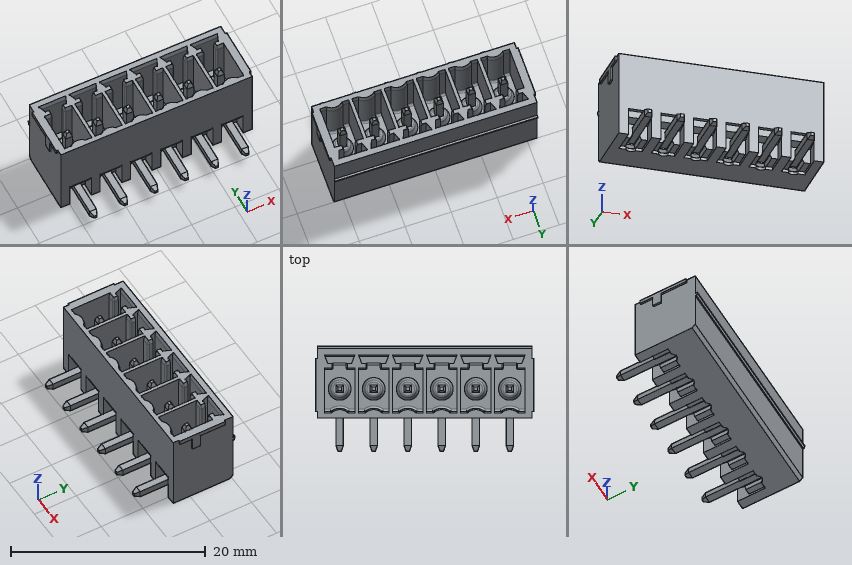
import cadquery as cq
import math

overall_length = 22.4
rib_thickness = 0.18
housing_length = overall_length - 2 * rib_thickness
housing_depth = 7.15
housing_height = 9.2
rear_chamfer = 0.38

pin_count = 6
pitch = 3.5
pin_y = 3.0
pin_positions = [(i - (pin_count - 1) / 2) * pitch for i in range(pin_count)]

pin_size = 0.78
tip_size = 0.35
tip_length = 0.58
pin_reach = 3.4
pin_leg_z = 1.2
pin_top_z = 8.18

cavity_width = 3.11
cavity_front = 0.67
floor_z = 3.58
lead_in_run = 0.13
lead_in_height = 0.5
lead_in_angle = math.degrees(math.atan2(lead_in_run, lead_in_height))
lead_in_z = housing_height - lead_in_height
cove_radius = 0.25

tab_front = 5.0
tab_rear = 5.6
tab_gap = 1.35
tab_corner_radius = 0.18

bump_peak = 1.0
bump_width = 1.8

pocket_rear = 6.35
pocket_front_width = 2.45
pocket_floor_drop = 0.2
pocket_slope_front = 5.47

boss_base_radius = 1.16
boss_top_radius = 0.85
boss_height = 0.9
boss_fillet = 0.2

notch_width = 2.49
notch_height = 2.98
notch_upper_depth = 0.43
notch_lower_depth = 1.37
notch_roof_front_z = 2.22
notch_roof_rear_z = 1.95

recess_height = 0.34
recess_depth = 3.3
funnel_top_z = 0.67
funnel_size = 1.19

rib_bar_front = 0.67
rib_bar_rear = 6.14
rib_bar_height = 0.52
rib_stem_front = 2.17
rib_stem_rear = 3.15
rib_stem_height = 2.02
rib_corner_radius = 0.1

ridge_depth = 0.25
ridge_top_z = 6.05
ridge_edge_z = 5.87
ridge_bottom_z = 5.58
ridge_bottom_depth = 0.11


def block(x_size, y_min, y_max, z_min, z_max):
    """Box centred on x = 0 between the given y and z limits."""
    return (
        cq.Workplane("XY")
        .box(x_size, y_max - y_min, z_max - z_min, centered=(True, False, False))
        .translate((0, y_min, z_min))
    )


def side_profile(points, width):
    """Closed (y, z) outline extruded along x, centred on x = 0."""
    return cq.Workplane("YZ").polyline(points).close().extrude(width / 2, both=True)


def square_frustum(plane, start_size, end_size, length):
    """Square section that changes size along the normal of the plane."""
    return (
        cq.Workplane(plane)
        .rect(start_size, start_size)
        .workplane(offset=length)
        .rect(end_size, end_size)
        .loft(combine=True)
    )


def make_pin():
    half = pin_size / 2
    leg_bottom = pin_leg_z - half
    leg_end = tip_length - pin_reach
    post_end = pin_top_z - tip_length

    leg = block(pin_size, leg_end, pin_y + half, leg_bottom, pin_leg_z + half)
    post = block(pin_size, pin_y - half, pin_y + half, leg_bottom, post_end)
    leg_tip_plane = cq.Plane(origin=(0, leg_end, pin_leg_z), xDir=(1, 0, 0), normal=(0, -1, 0))
    post_tip_plane = cq.Plane(origin=(0, pin_y, post_end), xDir=(1, 0, 0), normal=(0, 0, 1))
    leg_tip = square_frustum(leg_tip_plane, pin_size, tip_size, tip_length)
    post_tip = square_frustum(post_tip_plane, pin_size, tip_size, tip_length)
    return leg.union(post).union(leg_tip).union(post_tip)


def make_shell():
    body_outline = [
        (0, 0),
        (housing_depth - rear_chamfer, 0),
        (housing_depth, rear_chamfer),
        (housing_depth, housing_height),
        (0, housing_height),
    ]
    ridge_outline = [
        (housing_depth, ridge_top_z),
        (housing_depth + ridge_depth, ridge_top_z),
        (housing_depth + ridge_depth, ridge_edge_z),
        (housing_depth + ridge_bottom_depth, ridge_bottom_z),
        (housing_depth, ridge_bottom_z),
    ]
    body = side_profile(body_outline, housing_length)
    return body.union(side_profile(ridge_outline, housing_length))


def make_end_ribs():
    """T-shaped outline run through the full length, so that it stands out at both ends."""
    bar = block(
        overall_length, rib_bar_front, rib_bar_rear, housing_height - rib_bar_height, housing_height
    )
    stem = block(
        overall_length, rib_stem_front, rib_stem_rear, housing_height - rib_stem_height, housing_height
    )
    bar = bar.edges("|X and <Y and <Z").fillet(rib_corner_radius)
    stem = stem.edges("|X and <Y and <Z").fillet(rib_corner_radius)
    return bar.union(stem)


def cavity_outline(z):
    """Cavity section: arched bump at the front, two tabs and the gap between them at the rear."""
    half = cavity_width / 2
    gap_half = tab_gap / 2
    bump_half = bump_width / 2
    return (
        cq.Workplane("XY", origin=(0, 0, z))
        .moveTo(-half, cavity_front)
        .lineTo(-bump_half, cavity_front)
        .threePointArc((0, bump_peak), (bump_half, cavity_front))
        .lineTo(half, cavity_front)
        .lineTo(half, tab_front)
        .lineTo(gap_half + tab_corner_radius, tab_front)
        .radiusArc((gap_half, tab_front + tab_corner_radius), tab_corner_radius)
        .lineTo(gap_half, tab_rear)
        .lineTo(-gap_half, tab_rear)
        .lineTo(-gap_half, tab_front + tab_corner_radius)
        .radiusArc((-gap_half - tab_corner_radius, tab_front), tab_corner_radius)
        .lineTo(-half, tab_front)
        .close()
    )


def make_cavity():
    cavity = cavity_outline(floor_z).extrude(housing_height - floor_z)
    margin = 0.02
    front_floor_edges = cq.selectors.BoxSelector(
        (-cavity_width, 0, floor_z - margin),
        (cavity_width, bump_peak + margin, floor_z + margin),
    )
    cavity = cavity.edges(front_floor_edges).edges("not(|Y)").fillet(cove_radius)

    lead_in = cavity_outline(lead_in_z).extrude(lead_in_height, taper=-lead_in_angle)
    lead_in_limit = block(cavity_width, 0, tab_rear, lead_in_z, housing_height)
    return cavity.union(lead_in.intersect(lead_in_limit))


def make_pocket():
    pocket_floor_z = floor_z - pocket_floor_drop
    half_front = pocket_front_width / 2
    half_rear = cavity_width / 2
    lead_in_rear = pocket_rear + lead_in_run
    dovetail = (
        cq.Workplane("XY", origin=(0, 0, pocket_floor_z))
        .polyline(
            [
                (-half_front, tab_rear),
                (half_front, tab_rear),
                (half_rear, lead_in_rear),
                (-half_rear, lead_in_rear),
            ]
        )
        .close()
        .extrude(housing_height - pocket_floor_z)
    )
    rear_wall = [
        (tab_rear, pocket_floor_z),
        (pocket_rear, pocket_floor_z),
        (pocket_rear, lead_in_z),
        (lead_in_rear, housing_height),
        (tab_rear, housing_height),
    ]
    pocket = dovetail.intersect(side_profile(rear_wall, cavity_width))

    slope_rear = pocket_slope_front + pocket_floor_drop
    ramp = [
        (pocket_slope_front, floor_z),
        (slope_rear, pocket_floor_z),
        (slope_rear, floor_z),
    ]
    ramp_foot = [
        (tab_rear, pocket_floor_z),
        (slope_rear, pocket_floor_z),
        (tab_rear, floor_z - (tab_rear - pocket_slope_front)),
    ]
    pocket = pocket.cut(side_profile(ramp_foot, tab_gap))
    return pocket.union(side_profile(ramp, tab_gap))


def make_boss():
    return (
        cq.Workplane("XY", origin=(0, pin_y, floor_z))
        .circle(boss_base_radius)
        .workplane(offset=boss_height)
        .circle(boss_top_radius)
        .loft(combine=True)
        .faces(">Z")
        .edges()
        .fillet(boss_fillet)
    )


def make_notch():
    outline = [
        (0, 0),
        (notch_lower_depth, 0),
        (notch_lower_depth, notch_roof_rear_z),
        (notch_upper_depth, notch_roof_front_z),
        (notch_upper_depth, notch_height),
        (0, notch_height),
    ]
    return side_profile(outline, notch_width)


def make_insertion_opening():
    """Slot below the pin leg, widening through a funnel into a recess in the underside."""
    slot = block(pin_size, 0, pin_y + pin_size / 2, recess_height, pin_leg_z)
    recess = block(notch_width, 0, recess_depth, 0, recess_height)
    bore = (
        cq.Workplane("XY", origin=(0, pin_y, 0)).circle(funnel_size / 2).extrude(recess_height)
    )
    funnel_plane = cq.Plane(origin=(0, pin_y, recess_height), xDir=(1, 0, 0), normal=(0, 0, 1))
    funnel_height = funnel_top_z - recess_height
    funnel = square_frustum(funnel_plane, funnel_size, pin_size, funnel_height)
    funnel_outline = [
        (-funnel_size / 2, recess_height),
        (funnel_size / 2, recess_height),
        (pin_size / 2, funnel_top_z),
        (-pin_size / 2, funnel_top_z),
    ]
    funnel_mouth = (
        cq.Workplane("XZ", origin=(0, pin_y, 0)).polyline(funnel_outline).close().extrude(pin_y)
    )
    return slot.union(recess).union(bore).union(funnel).union(funnel_mouth)


def make_housing(pins):
    cavity = make_cavity().union(make_pocket()).cut(make_boss())
    cutter = cavity.union(make_notch()).union(make_insertion_opening())
    housing = make_shell().union(make_end_ribs())
    for x, pin in zip(pin_positions, pins):
        housing = housing.cut(cutter.translate((x, 0, 0))).cut(pin)
    return housing


pins = [make_pin().translate((x, 0, 0)) for x in pin_positions]
housing = make_housing(pins)

result = cq.Compound.makeCompound([housing.val(), *[pin.val() for pin in pins]])